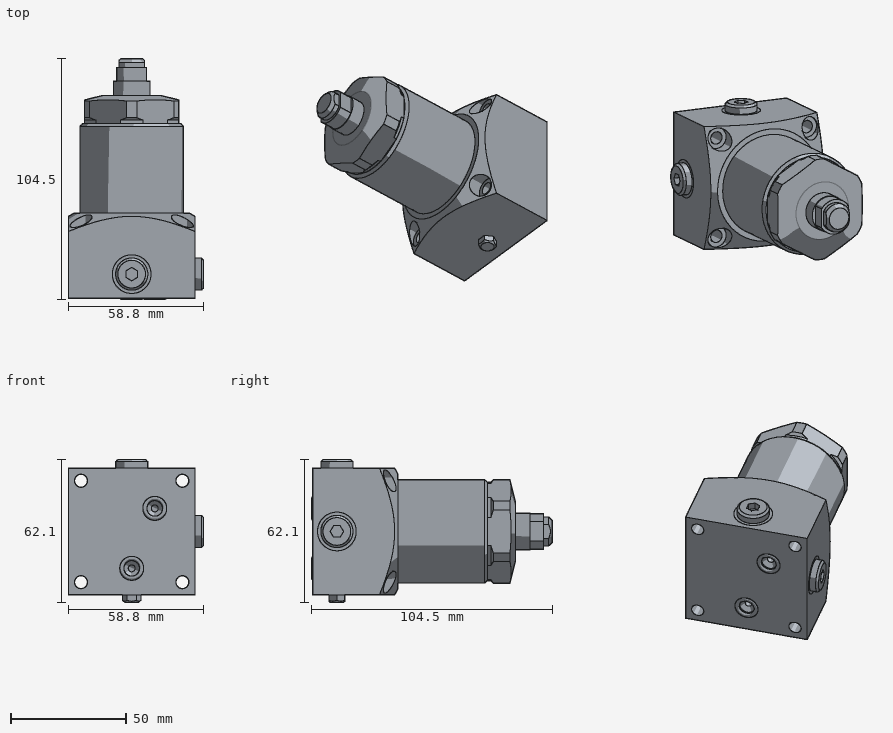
import cadquery as cq
import math


block_width = 55.0
block_length = 37.0
cone_face_radius = 25.0
cone_slope = math.radians(30)

screw_offset = 22.0
screw_hole_diameter = 5.5
screw_head_diameter = 9.5
screw_seat_y = 30.0

port_positions = [(10.0, 10.0), (0.0, -16.0)]
port_diameter = 6.8
port_bore_diameter = 3.0
port_bore_end_y = 10.5
port_cone_half_angle = math.radians(45)
drill_half_angle = math.radians(59)
seal_recess_diameter = 10.4
seal_section_radius = 0.95
seal_squeeze = 0.05
seal_ring_radius = seal_recess_diameter / 2 + seal_squeeze - seal_section_radius
seal_protrusion = 0.45
seal_recess_depth = 1.4

plug_y = 10.5
plug_diameter = 14.0
plug_height = 3.75
plug_chamfer = 1.0
plug_socket_flats = 5.0
plug_socket_depth = 3.0
spotface_diameter = 16.8
spotface_depth = 0.05
bleed_flats = 7.0
bleed_height = 3.32
bleed_hex_height = 2.3
bleed_tip_diameter = 5.8

housing_diameter = 45.0
housing_end_y = 75.9
housing_chamfer = 1.3

nut_flats = 41.0
nut_diameter = 45.0
nut_neck_radius = 21.4
nut_neck_length = 1.4
nut_rim_y = 85.6
nut_end_y = 88.0
nut_top_radius = 12.8

stem_collar_diameter = 16.0
stem_collar_end_y = 94.2
stem_middle_diameter = 15.5
stem_middle_flats = 13.0
stem_middle_end_y = 100.2
stem_tip_diameter = 12.7
stem_tip_flats = 11.2
stem_tip_end_y = 104.0
stem_tip_chamfer = 1.6


def hexagon_corner_diameter(flats):
    return flats / math.cos(math.radians(30))


def turned(profile):
    """Revolve a (radius, y) outline drawn in the XY plane around the Y axis."""
    return profile.close().revolve(360, (0, 0, 0), (0, 1, 0))


def cylinder(diameter, start_y, end_y, x=0.0, z=0.0):
    """Cylinder parallel to Y between two y positions."""
    solid = cq.Solid.makeCylinder(diameter / 2, end_y - start_y, cq.Vector(x, start_y, z), cq.Vector(0, 1, 0))
    return cq.Workplane(obj=solid)


def make_block():
    """Square block whose rear corners are turned to a cone, with counterbored screw holes."""
    reach = block_width
    cone_drop = (reach - cone_face_radius) * math.tan(cone_slope)
    envelope = turned(
        cq.Workplane("XY")
        .lineTo(reach, 0)
        .lineTo(reach, block_length - cone_drop)
        .lineTo(cone_face_radius, block_length)
        .lineTo(0, block_length)
    )
    block = cq.Workplane("XY").box(block_width, block_length, block_width).translate((0, block_length / 2, 0))
    block = block.intersect(envelope)
    for x in (-screw_offset, screw_offset):
        for z in (-screw_offset, screw_offset):
            block = block.cut(cylinder(screw_hole_diameter, 0, block_length, x, z))
            block = block.cut(cylinder(screw_head_diameter, screw_seat_y, block_length, x, z))
    return block


def make_port_cavity():
    """Seal recess that narrows through a cone to a pointed bore."""
    recess_radius = seal_recess_diameter / 2
    port_radius = port_diameter / 2
    bore_radius = port_bore_diameter / 2
    cone_length = (port_radius - bore_radius) / math.tan(port_cone_half_angle)
    point_length = bore_radius / math.tan(drill_half_angle)
    return turned(
        cq.Workplane("XY")
        .lineTo(recess_radius, 0)
        .lineTo(recess_radius, seal_recess_depth)
        .lineTo(port_radius, seal_recess_depth)
        .lineTo(bore_radius, seal_recess_depth + cone_length)
        .lineTo(bore_radius, port_bore_end_y)
        .lineTo(0, port_bore_end_y + point_length)
    )


def make_seal_ring():
    """O-ring standing slightly proud of the mounting face."""
    ring_y = seal_section_radius - seal_protrusion
    ring = cq.Solid.makeTorus(seal_ring_radius, seal_section_radius, cq.Vector(0, ring_y, 0), cq.Vector(0, 1, 0))
    return cq.Workplane(obj=ring)


def add_ports(body):
    for x, z in port_positions:
        body = body.cut(make_port_cavity().translate((x, 0, z)))
        body = body.union(make_seal_ring().translate((x, 0, z)))
    return body


def add_plug(body, face):
    """Chamfered socket screw plug in a shallow spotface on a block side given as a plane."""
    plug = (
        cq.Workplane(face)
        .workplane(offset=-spotface_depth)
        .circle(plug_diameter / 2)
        .extrude(plug_height + spotface_depth)
        .faces(cq.selectors.DirectionNthSelector(face.zDir, -1))
        .chamfer(plug_chamfer)
    )
    spotface = cq.Workplane(face).circle(spotface_diameter / 2).extrude(-spotface_depth)
    socket = (
        cq.Workplane(face)
        .workplane(offset=plug_height)
        .polygon(6, hexagon_corner_diameter(plug_socket_flats))
        .extrude(-plug_socket_depth)
    )
    return body.cut(spotface).union(plug).cut(socket)


def add_plugs(body):
    half = block_width / 2
    top_face = cq.Plane((0, plug_y, half), xDir=(0, 1, 0), normal=(0, 0, 1))
    side_face = cq.Plane((half, plug_y, 0), xDir=(0, 1, 0), normal=(1, 0, 0))
    for face in (top_face, side_face):
        body = add_plug(body, face)
    return body


def add_bleed_screw(body):
    """Small hexagon with a tapered end under the block."""
    face = cq.Plane((0, plug_y, -block_width / 2), xDir=(1, 0, 0), normal=(0, 0, -1))
    corner_diameter = hexagon_corner_diameter(bleed_flats)
    hexagon = cq.Workplane(face).polygon(6, corner_diameter).extrude(bleed_height)
    cone = (
        cq.Workplane(face)
        .workplane(offset=bleed_hex_height)
        .circle(corner_diameter / 2)
        .workplane(offset=bleed_height - bleed_hex_height)
        .circle(bleed_tip_diameter / 2)
        .loft()
    )
    shank = cq.Workplane(face).circle(corner_diameter / 2).extrude(bleed_hex_height)
    return body.union(hexagon.intersect(shank.union(cone)))


def make_housing():
    housing = cylinder(housing_diameter, block_length, housing_end_y)
    return housing.faces(">Y").chamfer(housing_chamfer)


def make_nut():
    """Hexagon with rounded corners, a conical top and corners relieved by a conical neck at the base."""
    radius = nut_diameter / 2
    neck_y = housing_end_y + nut_neck_length
    neck_depth = radius - nut_neck_radius
    envelope = turned(
        cq.Workplane("XY")
        .moveTo(0, housing_end_y)
        .lineTo(nut_neck_radius, housing_end_y)
        .lineTo(nut_neck_radius, neck_y)
        .lineTo(radius, neck_y + neck_depth)
        .lineTo(radius, nut_rim_y)
        .lineTo(nut_top_radius, nut_end_y)
        .lineTo(0, nut_end_y)
    )
    base = cq.Plane((0, housing_end_y, 0), xDir=(0, 0, 1), normal=(0, 1, 0))
    hexagon = (
        cq.Workplane(base).polygon(6, hexagon_corner_diameter(nut_flats)).extrude(nut_end_y - housing_end_y)
    )
    return hexagon.intersect(envelope)


def with_two_flats(solid, flats):
    """Mill two flats facing -X and +X."""
    slab = cq.Workplane("XY").box(flats, 2 * stem_tip_end_y, block_width)
    return solid.intersect(slab)


def make_stem():
    collar = cylinder(stem_collar_diameter, nut_end_y, stem_collar_end_y)
    middle = cylinder(stem_middle_diameter, stem_collar_end_y, stem_middle_end_y)
    tip = cylinder(stem_tip_diameter, stem_middle_end_y, stem_tip_end_y)
    tip = tip.faces(">Y").chamfer(stem_tip_chamfer)
    middle = with_two_flats(middle, stem_middle_flats)
    tip = with_two_flats(tip, stem_tip_flats)
    return collar.union(middle).union(tip)


body = add_ports(make_block())
body = add_plugs(body)
body = add_bleed_screw(body)
result = body.union(make_housing()).union(make_nut()).union(make_stem())